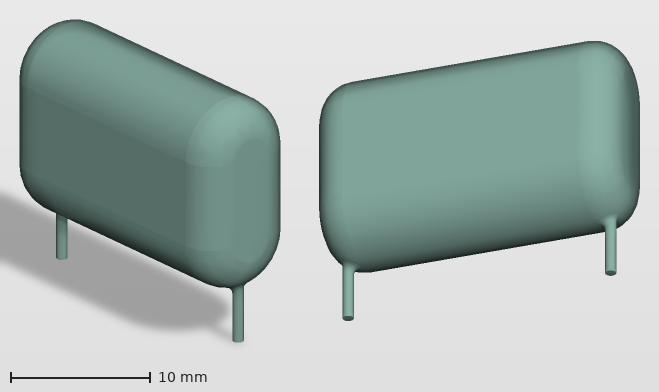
import cadquery as cq

body_length = 23.0
body_thickness = 8.0
body_height = 14.5
end_rounding = 2.5

lead_diameter = 0.8
lead_spacing = 19.99
lead_length = 4.0
lead_root_fillet = 0.5


def make_body():
    """Bar with a stadium cross-section and both end rims rounded."""
    return (
        cq.Workplane("YZ", origin=(0, 0, body_height / 2))
        .slot2D(body_height, body_thickness, angle=90)
        .extrude(body_length / 2, both=True)
        .faces("<X or >X")
        .edges()
        .fillet(end_rounding)
    )


def make_leads():
    """Two round wires that start inside the body, at mid-height."""
    return (
        cq.Workplane("XY", origin=(0, 0, -lead_length))
        .pushPoints([(-lead_spacing / 2, 0), (lead_spacing / 2, 0)])
        .circle(lead_diameter / 2)
        .extrude(lead_length + body_height / 2)
    )


def blend_lead_roots(part):
    """Fillet the freeform seams where the leads enter the end roundings."""
    return part.edges("%BSPLINE").fillet(lead_root_fillet)


result = blend_lead_roots(make_body().union(make_leads()))